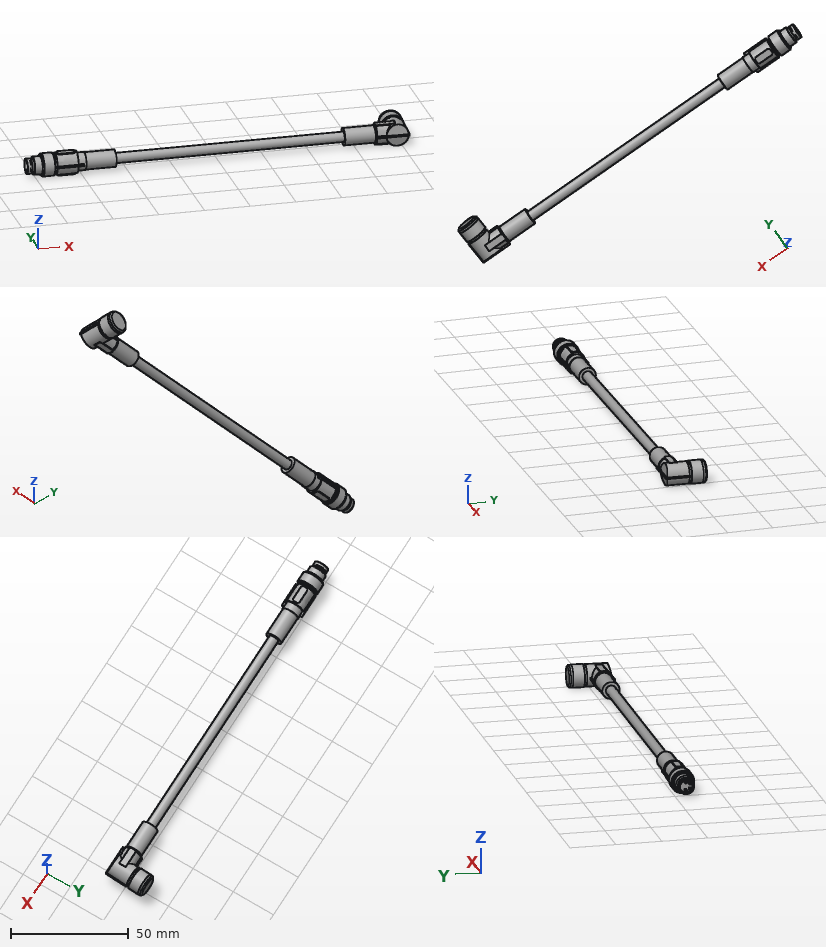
import cadquery as cq


cable_diameter = 4.5
sleeve_diameter = 7.5
sleeve_length = 13.2
collar_diameter = 7.9
ridge_reach = 5.0
ridge_width = 0.7
pad_width = 3.2
pad_chamfer = 0.7

tip_diameter = 6.7
tip_end = 2.0
snap_groove_diameter = 6.0
snap_groove_end = 3.0
barrel_diameter = 7.9
barrel_end = 6.2
flange_diameter = 9.0
nut_start = 6.9
nut_diameter = 10.0
nut_end = 11.9
nut_chamfer = 0.5
neck_diameter = 8.4
grip_start = 12.7
grip_width = 8.7
grip_height = 9.7
grip_end = 22.0
ridge_end = 24.1
collar_end = 25.5
male_pad_start = 13.4
male_pad_end = 21.3
male_pad_reach = 5.0

socket_diameter = 5.7
socket_depth = 1.3
pin_diameter = 1.0
pin_length = 1.0
pin_places = [(0.2, 1.8), (0.2, -1.8), (-1.7, 1.2), (-1.7, -1.2)]

female_sleeve_end = 152.0
female_pad_start = 152.3
female_pad_end = 161.1
female_pad_reach = 4.5
arm_start = 152.6
arm_width = 8.0
arm_height = 8.9
arm_ridge_reach = 4.7
elbow_x = 161.7
elbow_ridge_end = 166.5

elbow_tilt = 3.0
elbow_diameter = 9.7
elbow_base = 4.7
base_slope_drop = 0.8
back_ridge_reach = 5.2
coupling_groove_start = 5.7
coupling_groove_diameter = 8.7
coupling_start = 6.7
coupling_diameter = 10.0
coupling_lip_start = 11.7
coupling_lip_diameter = 9.9
coupling_end = 13.4
coupling_chamfer = 0.7


def rod(start, end, diameter):
    """Round bar on the X axis."""
    return cq.Workplane("YZ").workplane(offset=start).circle(diameter / 2).extrude(end - start)


def oval_bar(start, end, width, height):
    """Bar along X with an elliptical section."""
    section = cq.Workplane("YZ").workplane(offset=start)
    return section.ellipse(width / 2, height / 2).extrude(end - start)


def turned(stations):
    """Turned body on the X axis, from the (position, diameter) corners of its outline."""
    first, last = stations[0][0], stations[-1][0]
    outline = [(x, diameter / 2) for x, diameter in stations]
    points = [(first, 0)] + outline + [(last, 0)]
    return cq.Workplane("XY").polyline(points).close().revolve(360, (0, 0, 0), (1, 0, 0))


def block(x_range, y_range, z_range):
    """Box given by its limits along each axis."""
    sizes = [high - low for low, high in (x_range, y_range, z_range)]
    corner = (x_range[0], y_range[0], z_range[0])
    return cq.Workplane("XY").box(*sizes, centered=False).translate(corner)


def ridge(x_range, y_range):
    """Upright rib centred on the plane z = 0."""
    return block(x_range, y_range, (-ridge_width / 2, ridge_width / 2))


def pad_block(start, end, bottom, top):
    """Block as wide as a grip pad, centred on the plane y = 0."""
    return block((start, end), (-pad_width / 2, pad_width / 2), (bottom, top))


def male_grip():
    grip = oval_bar(grip_start, grip_end, grip_width, grip_height)
    ridges = ridge((grip_start, ridge_end), (-ridge_reach, ridge_reach))
    pad = pad_block(male_pad_start, male_pad_end, 0, male_pad_reach)
    pad = pad.edges("|Z").chamfer(pad_chamfer)
    return grip.union(ridges).union(pad).union(pad.mirror("XY"))


def male_plug():
    plug = turned([
        (0, tip_diameter),
        (tip_end, tip_diameter),
        (tip_end, snap_groove_diameter),
        (snap_groove_end, snap_groove_diameter),
        (snap_groove_end, barrel_diameter),
        (barrel_end, barrel_diameter),
        (barrel_end, flange_diameter),
        (nut_start, flange_diameter),
        (nut_start, nut_diameter),
        (nut_end - nut_chamfer, nut_diameter),
        (nut_end, nut_diameter - 2 * nut_chamfer),
        (nut_end, neck_diameter),
        (grip_start, neck_diameter),
        (grip_start, collar_diameter),
        (collar_end, collar_diameter),
    ])
    plug = plug.union(male_grip()).cut(rod(0, socket_depth, socket_diameter))
    for y, z in pin_places:
        pin = rod(socket_depth - pin_length, socket_depth, pin_diameter)
        plug = plug.union(pin.translate((0, y, z)))
    return plug


def base_wedge(side):
    """Space beyond the roof-shaped -Y base of the elbow, on the +Z (1) or -Z (-1) side."""
    height = elbow_diameter
    drop = base_slope_drop * height / (elbow_diameter / 2)
    outline = [
        (-elbow_base, 0),
        (-elbow_base + drop, side * height),
        (-2 * elbow_base, side * height),
        (-2 * elbow_base, 0),
    ]
    plane = cq.Workplane("YZ").workplane(offset=elbow_x - elbow_diameter)
    return plane.polyline(outline).close().extrude(2 * elbow_diameter)


def elbow_and_coupling():
    """Elbow body and coupling nut, turned on a leaning axis, with a ridge down the back."""
    body = turned([
        (-elbow_base, elbow_diameter),
        (coupling_groove_start, elbow_diameter),
        (coupling_groove_start, coupling_groove_diameter),
        (coupling_start, coupling_groove_diameter),
        (coupling_start, coupling_diameter),
        (coupling_lip_start, coupling_diameter),
        (coupling_lip_start, coupling_lip_diameter),
        (coupling_end - coupling_chamfer, coupling_lip_diameter),
        (coupling_end, coupling_lip_diameter - 2 * coupling_chamfer),
    ])
    back_ridge = ridge((-elbow_base, coupling_groove_start), (-back_ridge_reach, 0))
    body = body.union(back_ridge)
    body = body.rotate((0, 0, 0), (0, 0, 1), 90 - elbow_tilt).translate((elbow_x, 0, 0))
    return body.cut(base_wedge(1)).cut(base_wedge(-1))


def female_connector():
    arm = oval_bar(arm_start, elbow_x, arm_width, arm_height)
    collar = rod(female_sleeve_end, arm_start, collar_diameter)
    outer_ridge = ridge((arm_start, elbow_ridge_end), (-ridge_reach, 0))
    inner_ridge = ridge((arm_start, elbow_x), (0, arm_ridge_reach))
    connector = elbow_and_coupling().union(arm).union(collar)
    connector = connector.union(outer_ridge).union(inner_ridge)

    pad = pad_block(female_pad_start, female_pad_end, 0, female_pad_reach)
    pad = pad.edges("|Z and <X").chamfer(pad_chamfer)
    notch = pad_block(female_pad_start, female_pad_end, female_pad_reach, elbow_diameter)
    connector = connector.union(pad).union(pad.mirror("XY"))
    return connector.cut(notch).cut(notch.mirror("XY"))


cable = rod(collar_end, arm_start, cable_diameter)
male_sleeve = rod(collar_end, collar_end + sleeve_length, sleeve_diameter)
female_sleeve = rod(female_sleeve_end - sleeve_length, female_sleeve_end, sleeve_diameter)

result = cable.union(male_sleeve).union(female_sleeve).union(male_plug()).union(female_connector())